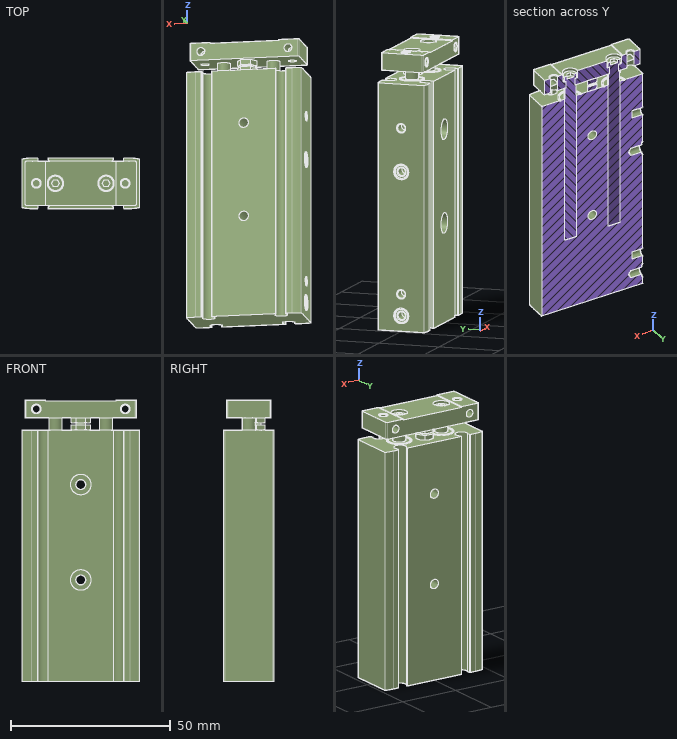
import cadquery as cq
import math


HOUSING_WIDTH = 37.0
HOUSING_DEPTH = 16.0
HOUSING_HEIGHT = 79.0
CORNER_RADIUS = 0.3
CROWN_START_X = 15.5
CROWN_DROP = 0.35

GROOVE_DIAMETER = 4.0
GROOVE_X = 11.6
GROOVE_AXIS_DEPTH = 2.0
GROOVE_MOUTH_INNER_X = 10.3
GROOVE_MOUTH_OUTER_X = 13.4
MOUTH_CHAMFER = 0.3

MOUNT_HOLE_DIAMETER = 3.0
MOUNT_BORE_DIAMETER = 6.5
MOUNT_BORE_DEPTH = 3.3
MOUNT_HOLE_Z = (31.95, 61.95)

TAP_DIAMETER = 2.5
TAP_RIM_DIAMETER = 3.0
SIDE_TAP_DEPTH = 4.0
SIDE_TAP_Z = (11.9, 65.0)

PORT_RIM_DIAMETER = 5.0
PORT_DIAMETER = 4.2
PORT_STEP_DEPTH = 0.2
PORT_DEPTH = 0.35
PORT_PILOT_RIM_DIAMETER = 3.0
PORT_PILOT_DIAMETER = 2.5
PORT_PILOT_DEPTH = 4.4
PORT_CONE_ANGLE = 118.0
PORT_Z = (5.0, 51.0)

SEAL_OUTER_DIAMETER = 8.0
SEAL_INNER_DIAMETER = 7.0
SEAL_GROOVE_DEPTH = 0.3

PLATE_WIDTH = 35.0
PLATE_DEPTH = 14.0
PLATE_THICKNESS = 5.6
PLATE_TOP_Z = 88.5
PLATE_BOTTOM_Z = PLATE_TOP_Z - PLATE_THICKNESS
PLATE_EDGE_RADIUS = 0.4
PLATE_RECESS_WIDTH = 22.0
PLATE_RECESS_DEPTH = 0.3
PLATE_TAP_X = 14.0

ROD_X = 8.0
ROD_DIAMETER = 4.2
ROD_INSERTION = 53.1
ROD_NECK_DIAMETER = 3.0
ROD_HEAD_DIAMETER = 4.5
ROD_HEAD_THICKNESS = 1.8
ROD_HEAD_SINK = 1.15
ROD_HEAD_TOP_Z = PLATE_TOP_Z - ROD_HEAD_SINK
ROD_HEAD_SEAT_Z = ROD_HEAD_TOP_Z - ROD_HEAD_THICKNESS
ROD_HEAD_BORE_DIAMETER = 5.1
ROD_SOCKET_DIAMETER = 2.5
ROD_SOCKET_DEPTH = 1.1

STOP_Y = 2.4
HEX_CORNER_DIAMETER = 6.3
HEX_FLAT_WIDTH = HEX_CORNER_DIAMETER * math.cos(math.pi / 6)
HEX_CHAMFER_ANGLE = 30.0
HEX_THICKNESS = 1.7
STOP_SHANK_DIAMETER = 3.0
STOP_SHANK_INSERTION = 3.5


def rod(diameter, bottom_z, top_z, x=0, y=0):
    """Upright cylinder between two heights."""
    return cq.Workplane("XY", origin=(x, y, bottom_z)).circle(diameter / 2).extrude(top_z - bottom_z)


def revolved_bore(profile, start, axis):
    """Turn a (radius, depth) profile into a tool that enters at `start` and runs along `axis`."""
    plane = cq.Plane(origin=start, xDir=(axis[1], axis[2], axis[0]), normal=axis)
    turned = cq.Workplane("XZ").polyline(profile).close().revolve(360, (0, 0), (0, 1))
    return cq.Workplane(turned.val().moved(cq.Location(plane)))


def tapped_bore(depth, start, axis):
    """Tool for a flat-bottomed tapped hole with a 45 degree rim."""
    radius = TAP_DIAMETER / 2
    rim_radius = TAP_RIM_DIAMETER / 2
    profile = [(0, 0), (rim_radius, 0), (radius, rim_radius - radius), (radius, depth), (0, depth)]
    return revolved_bore(profile, start, axis)


def port_bore(start, axis):
    """Tool for an air port: two shallow steps and a chamfered pilot hole with a drill point."""
    rim_radius = PORT_RIM_DIAMETER / 2
    radius = PORT_DIAMETER / 2
    pilot_radius = PORT_PILOT_DIAMETER / 2
    pilot_rim_radius = PORT_PILOT_RIM_DIAMETER / 2
    cone_length = pilot_radius / math.tan(math.radians(PORT_CONE_ANGLE / 2))
    profile = [
        (0, 0),
        (rim_radius, 0),
        (rim_radius, PORT_STEP_DEPTH),
        (radius, PORT_STEP_DEPTH),
        (radius, PORT_DEPTH),
        (pilot_rim_radius, PORT_DEPTH),
        (pilot_radius, PORT_DEPTH + pilot_rim_radius - pilot_radius),
        (pilot_radius, PORT_PILOT_DEPTH),
        (0, PORT_PILOT_DEPTH + cone_length),
    ]
    return revolved_bore(profile, start, axis)


def mount_bore(z):
    """Tool for a hole through both broad faces, counterbored in the -Y face."""
    radius = MOUNT_HOLE_DIAMETER / 2
    bore_radius = MOUNT_BORE_DIAMETER / 2
    profile = [
        (0, 0),
        (bore_radius, 0),
        (bore_radius, MOUNT_BORE_DEPTH),
        (radius, MOUNT_BORE_DEPTH),
        (radius, HOUSING_DEPTH),
        (0, HOUSING_DEPTH),
    ]
    return revolved_bore(profile, (0, -HOUSING_DEPTH / 2, z), (0, 1, 0))


def housing_blank():
    """Block with rounded corners whose broad faces curve gently back near the sides."""
    half_width = HOUSING_WIDTH / 2
    half_depth = HOUSING_DEPTH / 2
    crown_run = half_width - CROWN_START_X
    crown_middle_x = CROWN_START_X + crown_run / 2
    crown_middle_y = half_depth - CROWN_DROP / 4
    corner_y = half_depth - CROWN_DROP
    outline = (
        cq.Workplane("XY")
        .moveTo(-CROWN_START_X, half_depth)
        .lineTo(CROWN_START_X, half_depth)
        .threePointArc((crown_middle_x, crown_middle_y), (half_width, corner_y))
        .lineTo(half_width, -corner_y)
        .threePointArc((crown_middle_x, -crown_middle_y), (CROWN_START_X, -half_depth))
        .lineTo(-CROWN_START_X, -half_depth)
        .threePointArc((-crown_middle_x, -crown_middle_y), (-half_width, -corner_y))
        .lineTo(-half_width, corner_y)
        .threePointArc((-crown_middle_x, crown_middle_y), (-CROWN_START_X, half_depth))
        .close()
    )
    block = outline.extrude(HOUSING_HEIGHT)
    return block.edges("|Z and (<X or >X)").fillet(CORNER_RADIUS)


def groove():
    """Tool for the groove on the +X side of the +Y face: a round channel with a narrower mouth."""
    face_y = HOUSING_DEPTH / 2
    axis_y = face_y - GROOVE_AXIS_DEPTH
    channel = rod(GROOVE_DIAMETER, 0, HOUSING_HEIGHT, GROOVE_X, axis_y)
    mouth = (
        cq.Workplane("XY")
        .polyline([
            (GROOVE_MOUTH_INNER_X, axis_y),
            (GROOVE_MOUTH_INNER_X, face_y),
            (GROOVE_MOUTH_OUTER_X + MOUTH_CHAMFER, face_y),
            (GROOVE_MOUTH_OUTER_X, face_y - MOUTH_CHAMFER),
            (GROOVE_MOUTH_OUTER_X, axis_y),
        ])
        .close()
        .extrude(HOUSING_HEIGHT)
    )
    keep = cq.Workplane("XY").box(HOUSING_WIDTH, HOUSING_DEPTH, HOUSING_HEIGHT, centered=(True, True, False))
    return channel.union(mouth).intersect(keep)


def seal_groove(x):
    """Tool for the shallow ring groove around a rod."""
    floor_z = HOUSING_HEIGHT - SEAL_GROOVE_DEPTH
    disc = rod(SEAL_OUTER_DIAMETER, floor_z, HOUSING_HEIGHT, x)
    return disc.cut(rod(SEAL_INNER_DIAMETER, floor_z, HOUSING_HEIGHT, x))


def make_housing():
    body = housing_blank()
    right_back = groove()
    left_back = right_back.mirror("YZ")
    for tool in (right_back, left_back):
        body = body.cut(tool).cut(tool.mirror("XZ"))
    for z in MOUNT_HOLE_Z:
        body = body.cut(mount_bore(z))
    for z in SIDE_TAP_Z:
        body = body.cut(tapped_bore(SIDE_TAP_DEPTH, (-HOUSING_WIDTH / 2, 0, z), (1, 0, 0)))
    for z in PORT_Z:
        body = body.cut(port_bore((-HOUSING_WIDTH / 2, 0, z), (1, 0, 0)))
    for side in (-1, 1):
        body = body.cut(rod(ROD_DIAMETER, HOUSING_HEIGHT - ROD_INSERTION, HOUSING_HEIGHT, side * ROD_X))
        body = body.cut(seal_groove(side * ROD_X))
    return body


def make_plate():
    body = (
        cq.Workplane("XY", origin=(0, 0, PLATE_BOTTOM_Z))
        .box(PLATE_WIDTH, PLATE_DEPTH, PLATE_THICKNESS, centered=(True, True, False))
        .edges("|Z")
        .fillet(PLATE_EDGE_RADIUS)
    )
    recess = cq.Workplane("XY", origin=(0, 0, PLATE_TOP_Z - PLATE_RECESS_DEPTH)).box(
        PLATE_RECESS_WIDTH, PLATE_DEPTH, PLATE_RECESS_DEPTH, centered=(True, True, False)
    )
    body = body.cut(recess)
    tap_z = PLATE_BOTTOM_Z + PLATE_THICKNESS / 2
    for side in (-1, 1):
        tap_x = side * PLATE_TAP_X
        body = body.cut(tapped_bore(PLATE_THICKNESS, (tap_x, 0, PLATE_TOP_Z), (0, 0, -1)))
        body = body.cut(tapped_bore(PLATE_DEPTH, (tap_x, -PLATE_DEPTH / 2, tap_z), (0, 1, 0)))
        body = body.cut(rod(ROD_NECK_DIAMETER, PLATE_BOTTOM_Z, ROD_HEAD_SEAT_Z, side * ROD_X))
        body = body.cut(rod(ROD_HEAD_BORE_DIAMETER, ROD_HEAD_SEAT_Z, PLATE_TOP_Z, side * ROD_X))
    stop_hole = rod(STOP_SHANK_DIAMETER, PLATE_BOTTOM_Z, PLATE_BOTTOM_Z + STOP_SHANK_INSERTION, 0, STOP_Y)
    return body.cut(stop_hole)


def make_guide_rod(side):
    shaft = rod(ROD_DIAMETER, HOUSING_HEIGHT - ROD_INSERTION, PLATE_BOTTOM_Z, side * ROD_X)
    neck = rod(ROD_NECK_DIAMETER, PLATE_BOTTOM_Z, ROD_HEAD_SEAT_Z, side * ROD_X)
    head = rod(ROD_HEAD_DIAMETER, ROD_HEAD_SEAT_Z, ROD_HEAD_TOP_Z, side * ROD_X)
    socket = (
        cq.Workplane("XY", origin=(side * ROD_X, 0, ROD_HEAD_TOP_Z))
        .polygon(6, ROD_SOCKET_DIAMETER)
        .extrude(-ROD_SOCKET_DEPTH)
    )
    return shaft.union(neck).union(head).cut(socket)


def hexagon(bottom_z):
    """Hexagon block on the stop axis with the corners of its lower face chamfered."""
    base = cq.Workplane("XY", origin=(0, STOP_Y, bottom_z))
    block = base.polygon(6, HEX_CORNER_DIAMETER).extrude(HEX_THICKNESS)
    flat_radius = HEX_FLAT_WIDTH / 2
    top_radius = flat_radius + HEX_THICKNESS / math.tan(math.radians(HEX_CHAMFER_ANGLE))
    cone = cq.Solid.makeCone(flat_radius, top_radius, HEX_THICKNESS, cq.Vector(0, STOP_Y, bottom_z))
    return block.intersect(cq.Workplane(cone))


def make_stop_bolt():
    shank_top_z = PLATE_BOTTOM_Z + STOP_SHANK_INSERTION
    shank = rod(STOP_SHANK_DIAMETER, HOUSING_HEIGHT + HEX_THICKNESS, shank_top_z, 0, STOP_Y)
    return hexagon(HOUSING_HEIGHT).union(shank)


def make_lock_nut():
    bottom_z = PLATE_BOTTOM_Z - HEX_THICKNESS
    return hexagon(bottom_z).cut(rod(STOP_SHANK_DIAMETER, bottom_z, PLATE_BOTTOM_Z, 0, STOP_Y))


housing = make_housing()
plate = make_plate()
guide_rods = [make_guide_rod(side).val() for side in (-1, 1)]
stop_bolt = make_stop_bolt()
lock_nut = make_lock_nut()

result = cq.Compound.makeCompound(
    [housing.val(), plate.val(), *guide_rods, stop_bolt.val(), lock_nut.val()]
)